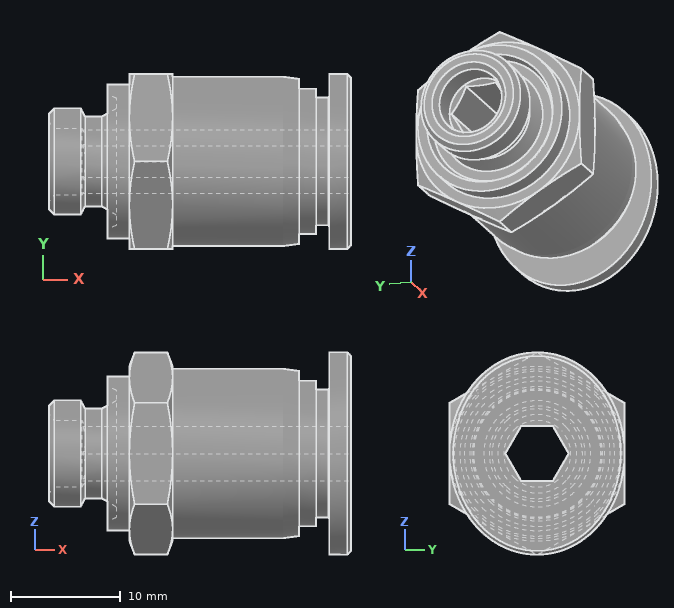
import cadquery as cq
import math


tip_chamfer_end = 0.5
thread_end = 2.9
groove_start = 3.3
groove_end = 4.85
shoulder_start = 5.35
hex_start = 7.35
hex_end = 11.3
taper_start = 21.4
body_end = 22.85
sleeve_end = 24.4
button_start = 25.6
total_length = 27.6

tip_radius = 4.37
thread_radius = 4.87
groove_radius = 4.12
shoulder_radius = 7.05
body_radius = 7.75
taper_end_radius = 7.55
sleeve_radius = 6.65
stem_radius = 5.85
stem_flare = 0.1

recess_mouth_radius = 6.15
recess_floor_radius = 5.8
recess_depth = 0.8
flare_angle = 30

hex_sides = 6
wrench_flats = 16.0
hex_corner_diameter = wrench_flats / math.cos(math.pi / hex_sides)
hex_bevel_length = 0.48

button_height = 18.5
button_width = 16.0
button_chamfer = 0.35

bore_radius = 3.05
bore_mouth_radius = 3.6
bore_chamfer_length = 0.45
bore_depth = 3.0
bore_bottom_angle = 120
socket_flats = 5.0
socket_corner_diameter = socket_flats / math.cos(math.pi / hex_sides)


def revolve_profile(points):
    """Turn a closed (x, radius) outline around the X axis."""
    return cq.Workplane("XY").polyline(points).close().revolve(360, (0, 0, 0), (1, 0, 0))


def hex_bar(corner_diameter, start, end):
    """Hexagonal bar along X with two flats facing +Y and -Y."""
    return (
        cq.Workplane("YZ", origin=(start, 0, 0))
        .transformed(rotate=(0, 0, 90))
        .polygon(hex_sides, corner_diameter)
        .extrude(end - start)
    )


def make_turned_body():
    recess_floor = shoulder_start + recess_depth
    flare_length = recess_floor - groove_end
    flare_radius = groove_radius + flare_length * math.tan(math.radians(flare_angle))
    return revolve_profile([
        (0, 0),
        (0, tip_radius),
        (tip_chamfer_end, thread_radius),
        (thread_end, thread_radius),
        (groove_start, groove_radius),
        (groove_end, groove_radius),
        (recess_floor, flare_radius),
        (recess_floor, recess_floor_radius),
        (shoulder_start, recess_mouth_radius),
        (shoulder_start, shoulder_radius),
        (hex_start, shoulder_radius),
        (hex_start, body_radius),
        (taper_start, body_radius),
        (body_end, taper_end_radius),
        (body_end, sleeve_radius),
        (sleeve_end, sleeve_radius),
        (sleeve_end, stem_radius),
        (button_start - stem_flare, stem_radius),
        (button_start, stem_radius + stem_flare),
        (button_start, 0),
    ])


def make_wrench_hex():
    """Hexagon whose corners are beveled down to the inscribed circle at both faces."""
    face_radius = wrench_flats / 2
    corner_radius = hex_corner_diameter / 2
    bevel_envelope = revolve_profile([
        (hex_start, 0),
        (hex_start, face_radius),
        (hex_start + hex_bevel_length, corner_radius),
        (hex_end - hex_bevel_length, corner_radius),
        (hex_end, face_radius),
        (hex_end, 0),
    ])
    return hex_bar(hex_corner_diameter, hex_start, hex_end).intersect(bevel_envelope)


def make_release_button():
    return (
        cq.Workplane("YZ", origin=(button_start, 0, 0))
        .ellipse(button_width / 2, button_height / 2)
        .extrude(total_length - button_start)
        .faces(">X")
        .chamfer(button_chamfer)
    )


def make_bore():
    """Chamfered blind bore with a drill-point bottom."""
    point_length = bore_radius / math.tan(math.radians(bore_bottom_angle / 2))
    return revolve_profile([
        (0, 0),
        (0, bore_mouth_radius),
        (bore_chamfer_length, bore_radius),
        (bore_depth, bore_radius),
        (bore_depth + point_length, 0),
    ])


def make_socket():
    """Hexagon socket running through the whole fitting, corners to the sides."""
    socket = hex_bar(socket_corner_diameter, 0, total_length)
    return socket.rotate((0, 0, 0), (1, 0, 0), 90)


result = (
    make_turned_body()
    .union(make_wrench_hex())
    .union(make_release_button())
    .cut(make_bore())
    .cut(make_socket())
)